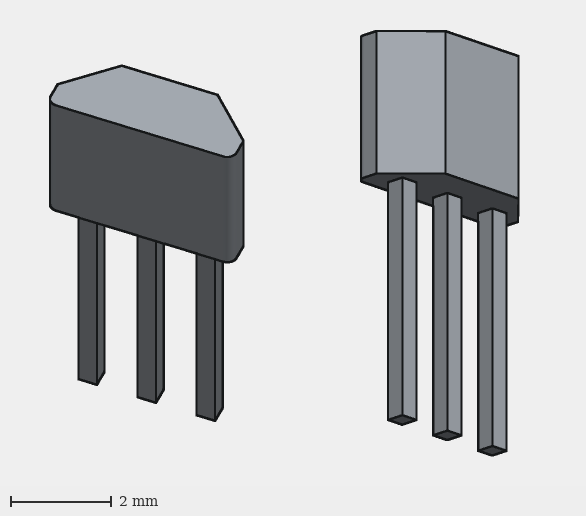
import cadquery as cq

body_width = 4.0
body_depth = 1.52
body_height = 3.0
bevel = 0.97
front_edge_radius = 0.2

lead_count = 3
lead_size = 0.4
lead_length = 5.0
lead_pitch = 1.27
lead_setback = 0.35


def make_body():
    """Block with two bevelled back edges and two rounded front edges."""
    block = cq.Workplane("XY").box(body_width, body_depth, body_height, centered=(True, False, False))
    bevelled = block.edges("|Z and >Y").chamfer(bevel)
    return bevelled.edges("|Z and <Y").fillet(front_edge_radius)


def make_lead(x_center):
    """Square lead hanging from the underside of the body."""
    lead = cq.Workplane("XY").box(lead_size, lead_size, lead_length, centered=(True, False, False))
    return lead.translate((x_center, lead_setback, -lead_length))


result = make_body()
for index in range(lead_count):
    lead_x = (index - (lead_count - 1) / 2) * lead_pitch
    result = result.union(make_lead(lead_x))